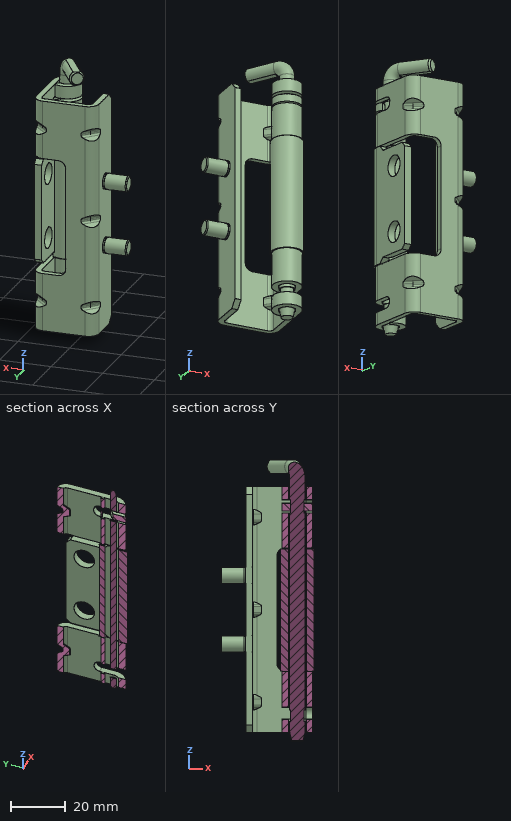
import cadquery as cq
import math


sheet = 2.5
curl_radius = 5.6
bracket_left = -18.9
bracket_back = 22.3
bracket_bottom = 3.0
bracket_height = 89.8
bracket_top = bracket_bottom + bracket_height
bracket_middle = bracket_bottom + bracket_height / 2
bend_radius = 4.1
flange_front = 4.4
flange_chamfer = 2.9
curl_end_angle = 51
collar_height = 4.9

window_height = 44.9
window_bottom = bracket_middle - window_height / 2
window_left = -7.4
window_corner = 3.0

lower_slot_height = 4.3
upper_slot_height = 4.7
lower_slot_bottom = bracket_bottom + collar_height
upper_slot_bottom = bracket_top - collar_height - upper_slot_height
slot_straight_end = curl_radius

dent_spacing = 33.7
rib_start = sheet * math.sqrt(2)
rib_depth = 5.8
rib_half_length = 3.1
rib_gap = 0.4
rib_half_width = 1.6
dent_depth = 3.9
dent_half_width = 0.8
dent_slope = 0.7
dent_fillet = 1.0

stud_diameter = 6.0
stud_length = 9.2
stud_chamfer = 0.4
stud_neck_diameter = 5.7
stud_neck_length = 0.6
stud_y = 11.7
stud_spacing = 25.0
stud_heights = [bracket_middle - stud_spacing / 2, bracket_middle + stud_spacing / 2]

leaf_sheet = 3.0
leaf_radius = 6.2
leaf_barrel_height = 44.6
leaf_hole_diameter = 8.0
leaf_back = 18.9
leaf_corner = 1.7
leaf_setback = 2.0
leaf_setback_start = 2.3

pin_radius = 2.9
groove_radius = 2.51
tip_radius = 2.2
pin_bend_radius = 4.1
handle_half_thickness = 2.51
handle_top = 102.5
handle_axis_z = handle_top - handle_half_thickness
handle_reach = 17.0
handle_angle = 122
handle_chamfer = 0.6
lower_groove_bottom = 7.1
lower_groove_top = 11.2

ring_height = 3.0
ring_bottom = 83.7
ring_mouth = 3.1
ring_mouth_angle = 40


def curled_strip(outer_radius, thickness, bottom, height):
    """Tube round the pin axis, open between its curled end and the wall at +X."""
    reach = 2 * outer_radius
    end = math.radians(curl_end_angle)
    tube = cq.Workplane("XY").circle(outer_radius).circle(outer_radius - thickness).extrude(height)
    opening = (
        cq.Workplane("XY")
        .polyline([(0, 0), (reach, 0), (reach * math.cos(end), reach * math.sin(end))])
        .close()
        .extrude(height)
    )
    return tube.cut(opening).translate((0, 0, bottom))


def upright_block(x_range, y_range, z_range):
    """Axis-aligned block given by its limits along each axis."""
    size = [limits[1] - limits[0] for limits in (x_range, y_range, z_range)]
    return cq.Workplane("XY").box(*size, centered=False).translate((x_range[0], y_range[0], z_range[0]))


def channel():
    """Flange, back and right wall bent from one sheet."""
    right, back, left = curl_radius, bracket_back, bracket_left
    outer = (
        upright_block((left, right), (0, back), (bracket_bottom, bracket_top))
        .edges("|Z and >Y")
        .fillet(bend_radius)
    )
    inner = (
        upright_block((left + sheet, right - sheet), (0, back - sheet), (bracket_bottom, bracket_top))
        .edges("|Z and >Y")
        .fillet(bend_radius - sheet)
    )
    clipped_back = flange_front + flange_chamfer
    in_front_of_flange = (
        cq.Workplane("YZ")
        .polyline(
            [
                (0, bracket_bottom),
                (clipped_back, bracket_bottom),
                (flange_front, bracket_bottom + flange_chamfer),
                (flange_front, bracket_top - flange_chamfer),
                (clipped_back, bracket_top),
                (0, bracket_top),
            ]
        )
        .close()
        .extrude(left)
    )
    return outer.cut(inner).cut(in_front_of_flange)


def leaf_window():
    """Opening through the back, right wall and curl, with rounded corners in the back only."""
    z_range = (window_bottom, window_bottom + window_height)
    right = 2 * curl_radius
    through_back = (
        upright_block((window_left, right), (0, bracket_back + sheet), z_range)
        .edges("|Y and <X")
        .fillet(window_corner)
    )
    through_curl = upright_block((-right, right), (-right, curl_radius), z_range)
    return through_back.union(through_curl)


def curl_slot(bottom, height):
    """Slot across the curl with a full-round end in the right wall."""
    end_radius = height / 2
    straight = upright_block(
        (-2 * curl_radius, 2 * curl_radius), (-2 * curl_radius, slot_straight_end), (bottom, bottom + height)
    )
    round_end = (
        cq.Workplane("YZ")
        .center(slot_straight_end, bottom + end_radius)
        .circle(end_radius)
        .extrude(2 * curl_radius, both=True)
    )
    return straight.union(round_end)


def bend_prism(start_depth, ridge_depth, ridge_half_width, half_length, middle_z):
    """Trapezoid prism across the left bend; depths run inwards from the sharp outer corner."""
    base_half_width = ridge_half_width + dent_slope * (ridge_depth - start_depth)
    corner = cq.Plane(origin=(bracket_left, bracket_back, middle_z), xDir=(1, -1, 0), normal=(-1, -1, 0))
    return (
        cq.Workplane(corner)
        .polyline(
            [
                (start_depth, -base_half_width),
                (ridge_depth, -ridge_half_width),
                (ridge_depth, ridge_half_width),
                (start_depth, base_half_width),
            ]
        )
        .close()
        .extrude(half_length, both=True)
        .faces(">(1,-1,0)")
        .edges("not |Z")
        .fillet(dent_fillet)
    )


def mirrored_to_right_bend(shape):
    """Copy of a left-bend feature at the right bend."""
    return shape.mirror("YZ", ((bracket_left + curl_radius) / 2, 0, 0))


def dented(body):
    """Push three stiffening dents into each bend: a rib inside and a matching hollow outside."""
    inner_face = bracket_left + sheet
    beside_flange = upright_block(
        (bracket_left, inner_face + rib_gap),
        (flange_front, bracket_back - sheet),
        (bracket_bottom, bracket_top),
    )
    for step in (-1, 0, 1):
        middle_z = bracket_middle + step * dent_spacing
        rib = bend_prism(rib_start, rib_depth, rib_half_width, rib_half_length, middle_z)
        hollow = bend_prism(0, dent_depth, dent_half_width, dent_depth, middle_z)
        rib = rib.cut(beside_flange)
        body = body.union(rib).union(mirrored_to_right_bend(rib))
        body = body.cut(hollow).cut(mirrored_to_right_bend(hollow))
    return body


def make_bracket():
    """Bent channel with dents, window, curl slots and two stud holes."""
    curl = curled_strip(curl_radius, sheet, bracket_bottom, bracket_height)
    body = dented(channel()).union(curl).cut(leaf_window())
    body = body.cut(curl_slot(lower_slot_bottom, lower_slot_height))
    body = body.cut(curl_slot(upper_slot_bottom, upper_slot_height))
    for height in stud_heights:
        hole = (
            cq.Workplane("YZ", origin=(bracket_left, stud_y, height))
            .circle(stud_diameter / 2)
            .extrude(sheet)
        )
        body = body.cut(hole)
    return body


def make_stud(height):
    """Stud set in the left flange, flush with its inner face and undercut beside its outer face."""
    body = (
        cq.Workplane("YZ", origin=(bracket_left + sheet, stud_y, height))
        .circle(stud_diameter / 2)
        .extrude(-(sheet + stud_length))
        .faces("<X")
        .chamfer(stud_chamfer)
    )
    undercut = (
        cq.Workplane("YZ", origin=(bracket_left, stud_y, height))
        .circle(stud_diameter / 2)
        .circle(stud_neck_diameter / 2)
        .extrude(-stud_neck_length)
    )
    return body.cut(undercut)


def make_leaf():
    """Barrel and flat plate of one sheet, with two holes in the plate."""
    barrel_top = window_bottom + leaf_barrel_height
    plate_bottom = window_bottom + leaf_setback
    plate_top = barrel_top - leaf_setback
    setback_end = leaf_setback_start + leaf_setback
    plate = (
        cq.Workplane("YZ", origin=(leaf_radius - leaf_sheet, 0, 0))
        .polyline(
            [
                (0, window_bottom),
                (leaf_setback_start, window_bottom),
                (setback_end, plate_bottom),
                (leaf_back - leaf_corner, plate_bottom),
                (leaf_back, plate_bottom + leaf_corner),
                (leaf_back, plate_top - leaf_corner),
                (leaf_back - leaf_corner, plate_top),
                (setback_end, plate_top),
                (leaf_setback_start, barrel_top),
                (0, barrel_top),
            ]
        )
        .close()
        .extrude(leaf_sheet)
    )
    body = plate.union(curled_strip(leaf_radius, leaf_sheet, window_bottom, leaf_barrel_height))
    for height in stud_heights:
        hole = (
            cq.Workplane("YZ", origin=(0, stud_y, height))
            .circle(leaf_hole_diameter / 2)
            .extrude(leaf_radius)
        )
        body = body.cut(hole)
    return body


def make_shank():
    """Straight part of the pin with its tapered tip and two grooves."""
    upper_groove_top = upper_slot_bottom + upper_slot_height
    return (
        cq.Workplane("XZ")
        .polyline(
            [
                (0, 0),
                (tip_radius, 0),
                (pin_radius, bracket_bottom),
                (pin_radius, lower_groove_bottom),
                (groove_radius, lower_groove_bottom),
                (groove_radius, lower_groove_top),
                (pin_radius, lower_groove_top),
                (pin_radius, upper_slot_bottom),
                (groove_radius, upper_slot_bottom),
                (groove_radius, upper_groove_top),
                (pin_radius, upper_groove_top),
                (pin_radius, handle_axis_z - pin_bend_radius),
                (0, handle_axis_z - pin_bend_radius),
            ]
        )
        .close()
        .revolve(360, (0, 0), (0, 1))
    )


def make_pin():
    """Shank bent over into a handle with a flat on its upper and lower sides."""
    bend_start = handle_axis_z - pin_bend_radius
    bend = (
        cq.Workplane("XY", origin=(0, 0, bend_start))
        .circle(pin_radius)
        .revolve(90, (pin_bend_radius, 0), (pin_bend_radius, 1))
    )
    handle = (
        cq.Workplane("YZ", origin=(pin_bend_radius, 0, handle_axis_z))
        .circle(pin_radius)
        .extrude(handle_reach - pin_bend_radius)
        .faces(">X")
        .chamfer(handle_chamfer)
    )
    flat_cut = pin_radius - handle_half_thickness
    below_handle = upright_block(
        (pin_bend_radius, handle_reach),
        (-pin_radius, pin_radius),
        (handle_axis_z - pin_radius, handle_axis_z - handle_half_thickness),
    )
    above_handle = upright_block(
        (-pin_radius, handle_reach), (-pin_radius, pin_radius), (handle_top, handle_top + flat_cut)
    )
    body = make_shank().union(bend).union(handle).cut(below_handle).cut(above_handle)
    return body.rotate((0, 0, 0), (0, 0, 1), handle_angle)


def make_ring():
    """Open retaining ring seated in the upper groove of the pin."""
    mouth = (
        upright_block((0, 2 * curl_radius), (-ring_mouth / 2, ring_mouth / 2), (0, ring_height))
        .rotate((0, 0, 0), (0, 0, 1), ring_mouth_angle)
    )
    ring = cq.Workplane("XY").circle(curl_radius).circle(groove_radius).extrude(ring_height)
    return ring.cut(mouth).translate((0, 0, ring_bottom))


bracket = make_bracket()
leaf = make_leaf()
pin = make_pin()
ring = make_ring()
studs = [make_stud(height) for height in stud_heights]

result = cq.Compound.makeCompound(
    [bracket.val(), leaf.val(), pin.val(), ring.val(), *[stud.val() for stud in studs]]
)